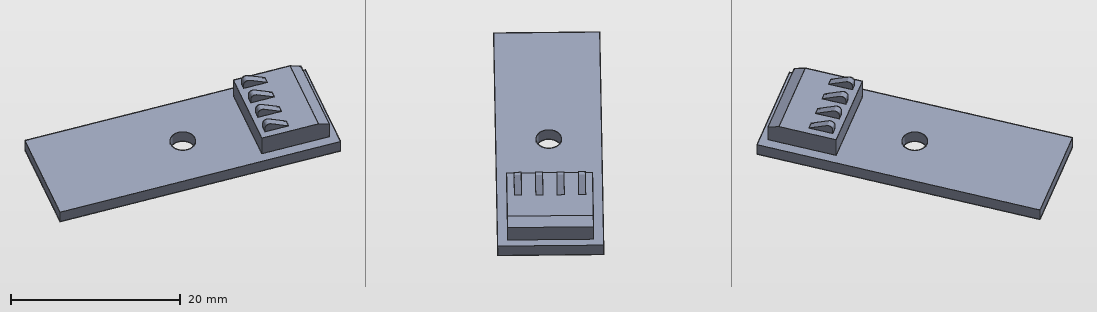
import cadquery as cq
import math

board_width = 12.5
board_length = 35.0
board_thickness = 1.6
hole_diameter = 3.0

block_width = 10.1
block_length = 8.45
block_height = 2.62
block_end_margin = 0.98
bevel_length = 1.35
bevel_drop = 0.52

lever_count = 4
lever_pitch = 2.52
lever_width = 0.85
lever_length = 2.95
lever_front_margin = 0.7
lever_height = 1.15
lever_nose_radius = 0.52

block_back = board_length / 2 - block_end_margin
block_front = block_back - block_length
block_top = board_thickness + block_height
lever_front = block_front + lever_front_margin
lever_back = lever_front + lever_length


def extrude_across(outline, width, center_x):
    """Extrude a YZ outline symmetrically about the plane X = center_x."""
    return outline.extrude(width / 2, both=True).translate((center_x, 0, 0))


def make_board():
    """Rectangular plate with a through hole in its centre."""
    plate = cq.Workplane("XY").box(
        board_width, board_length, board_thickness, centered=(True, True, False)
    )
    return plate.faces(">Z").workplane().hole(hole_diameter)


def make_lever(center_x):
    """Upright front, round nose, and a ramp tangent to the nose falling towards +Y."""
    nose_y = lever_front + lever_nose_radius
    nose_rise = lever_height - lever_nose_radius
    nose_z = block_top + nose_rise
    nose_to_back = lever_back - nose_y
    ramp_angle = math.atan2(nose_rise, nose_to_back) + math.asin(
        lever_nose_radius / math.hypot(nose_rise, nose_to_back)
    )

    def nose_point(angle):
        return (
            nose_y + lever_nose_radius * math.cos(angle),
            nose_z + lever_nose_radius * math.sin(angle),
        )

    ramp_start = math.pi / 2 - ramp_angle
    outline = (
        cq.Workplane("YZ")
        .moveTo(lever_back, block_top)
        .lineTo(*nose_point(ramp_start))
        .threePointArc(nose_point((ramp_start + math.pi) / 2), nose_point(math.pi))
        .lineTo(lever_front, block_top)
        .close()
    )
    return extrude_across(outline, lever_width, center_x)


def make_switch():
    """Block with a bevelled +Y top edge and a row of levers as one solid."""
    outline = cq.Workplane("YZ").polyline([
        (block_front, board_thickness),
        (block_back, board_thickness),
        (block_back, block_top - bevel_drop),
        (block_back - bevel_length, block_top),
        (block_front, block_top),
    ]).close()
    switch = extrude_across(outline, block_width, 0)
    for index in range(lever_count):
        center_x = (index - (lever_count - 1) / 2) * lever_pitch
        switch = switch.union(make_lever(center_x))
    return switch


board = make_board()
switch = make_switch()

result = cq.Compound.makeCompound([board.val(), *switch.solids().vals()])